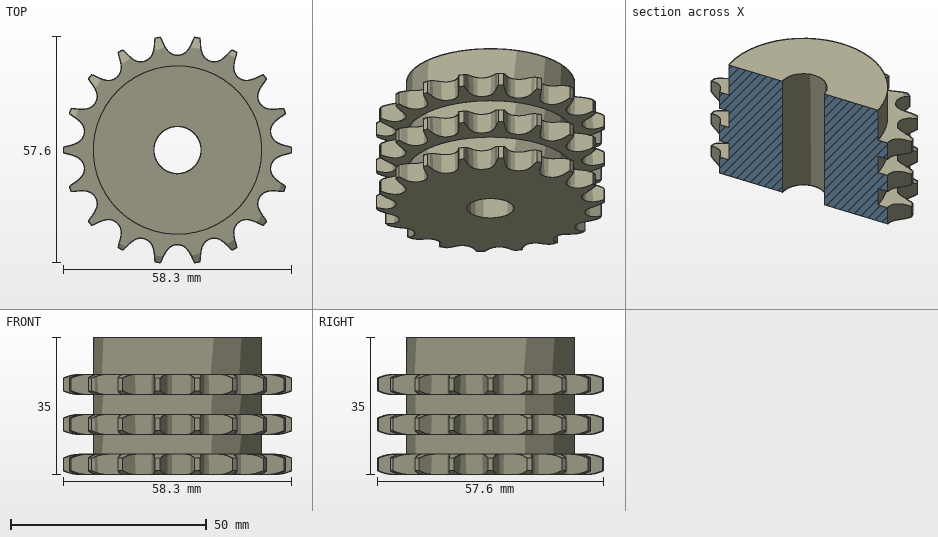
import cadquery as cq
import math

TOOTH_COUNT = 18
CHAIN_PITCH = 9.525
ROLLER_DIAMETER = 6.35
TIP_DIAMETER = 58.3
ROW_COUNT = 3
ROW_SPACING = 10.2
TOOTH_WIDTH = 5.2
RELIEF_DEPTH = 1.0
RELIEF_RADIUS = 10.0
HUB_DIAMETER = 43.0
BORE_DIAMETER = 12.0
TOTAL_HEIGHT = 35.0
CUT_OVERRUN = 1.0

SEAT_CLEARANCE = 0.0762
CLEARANCE_RATIO = 1.005
SEAT_RADIUS = (CLEARANCE_RATIO * ROLLER_DIAMETER + SEAT_CLEARANCE) / 2
WORKING_CENTRE_DISTANCE = 0.8 * ROLLER_DIAMETER
TOPPING_CENTRE_DISTANCE = 1.4 * ROLLER_DIAMETER
SEAT_ANGLE = 35 + 60 / TOOTH_COUNT
WORKING_ANGLE = 18 - 56 / TOOTH_COUNT

TOOTH_ANGLE = 360 / TOOTH_COUNT
HALF_TOOTH_ANGLE = TOOTH_ANGLE / 2
PITCH_RADIUS = CHAIN_PITCH / 2 / math.sin(math.radians(HALF_TOOTH_ANGLE))
TIP_RADIUS = TIP_DIAMETER / 2
WORKING_RADIUS = WORKING_CENTRE_DISTANCE + SEAT_RADIUS
RELIEF_START_RADIUS = TIP_RADIUS - math.sqrt(RELIEF_RADIUS**2 - (RELIEF_RADIUS - RELIEF_DEPTH) ** 2)
GAP_OUTER_RADIUS = TIP_RADIUS + CUT_OVERRUN


def offset(point, distance, angle):
    """Point at a distance and direction (degrees from +X) from another point."""
    direction = math.radians(angle)
    return (point[0] + distance * math.cos(direction), point[1] + distance * math.sin(direction))


def mirrored(point):
    """Point reflected across the centre line of the tooth gap."""
    return (-point[0], point[1])


def tooth_gap():
    """Cutter for one tooth gap, centred on the +Y axis: seat, working arc, straight flank, topping arc."""
    roller_centre = (0, PITCH_RADIUS)
    flank_angle = WORKING_ANGLE - SEAT_ANGLE
    root = offset(roller_centre, SEAT_RADIUS, -90)
    seat_end = offset(roller_centre, SEAT_RADIUS, -SEAT_ANGLE)

    working_centre = offset(roller_centre, WORKING_CENTRE_DISTANCE, 180 - SEAT_ANGLE)
    working_middle = offset(working_centre, WORKING_RADIUS, flank_angle - WORKING_ANGLE / 2)
    working_end = offset(working_centre, WORKING_RADIUS, flank_angle)

    topping_centre = offset(roller_centre, TOPPING_CENTRE_DISTANCE, -HALF_TOOTH_ANGLE)
    to_topping = math.dist(working_end, topping_centre)
    bearing = math.atan2(topping_centre[1] - working_end[1], topping_centre[0] - working_end[0])
    turn = bearing - math.radians(flank_angle)
    topping_radius = to_topping * math.cos(turn)
    flank_end = offset(topping_centre, topping_radius, 180 + flank_angle)

    topping_rise = GAP_OUTER_RADIUS - topping_centre[1]
    top_angle = 180 - math.degrees(math.asin(topping_rise / topping_radius))
    top = offset(topping_centre, topping_radius, top_angle)
    topping_middle = offset(topping_centre, topping_radius, (180 + flank_angle + top_angle) / 2)

    return (
        cq.Workplane("XY")
        .moveTo(*seat_end)
        .threePointArc(working_middle, working_end)
        .lineTo(*flank_end)
        .threePointArc(topping_middle, top)
        .lineTo(*mirrored(top))
        .threePointArc(mirrored(topping_middle), mirrored(flank_end))
        .lineTo(*mirrored(working_end))
        .threePointArc(mirrored(working_middle), mirrored(seat_end))
        .threePointArc(root, seat_end)
        .close()
        .extrude(TOOTH_WIDTH)
    )


def toothed_disc():
    """One row of teeth, standing on Z = 0, with both tooth sides rounded towards the tip."""
    half_chord = (TIP_RADIUS - RELIEF_START_RADIUS) / 2
    middle_radius = RELIEF_START_RADIUS + half_chord
    middle_drop = RELIEF_RADIUS - math.sqrt(RELIEF_RADIUS**2 - half_chord**2)
    disc = (
        cq.Workplane("XZ")
        .lineTo(RELIEF_START_RADIUS, 0)
        .threePointArc((middle_radius, middle_drop), (TIP_RADIUS, RELIEF_DEPTH))
        .lineTo(TIP_RADIUS, TOOTH_WIDTH - RELIEF_DEPTH)
        .threePointArc((middle_radius, TOOTH_WIDTH - middle_drop), (RELIEF_START_RADIUS, TOOTH_WIDTH))
        .lineTo(0, TOOTH_WIDTH)
        .close()
        .revolve(360, (0, 0, 0), (0, 1, 0))
    )
    gap = tooth_gap()
    for index in range(TOOTH_COUNT):
        gap_angle = (index + 0.5) * TOOTH_ANGLE - 90
        disc = disc.cut(gap.rotate((0, 0, 0), (0, 0, 1), gap_angle))
    return disc


def sprocket():
    """Hub with the rows of teeth stacked from its lower end, bored through."""
    body = cq.Workplane("XY").circle(HUB_DIAMETER / 2).extrude(TOTAL_HEIGHT)
    disc = toothed_disc()
    for row in range(ROW_COUNT):
        body = body.union(disc.translate((0, 0, row * ROW_SPACING)))
    bore = cq.Workplane("XY").circle(BORE_DIAMETER / 2).extrude(TOTAL_HEIGHT)
    return body.cut(bore)


result = sprocket()